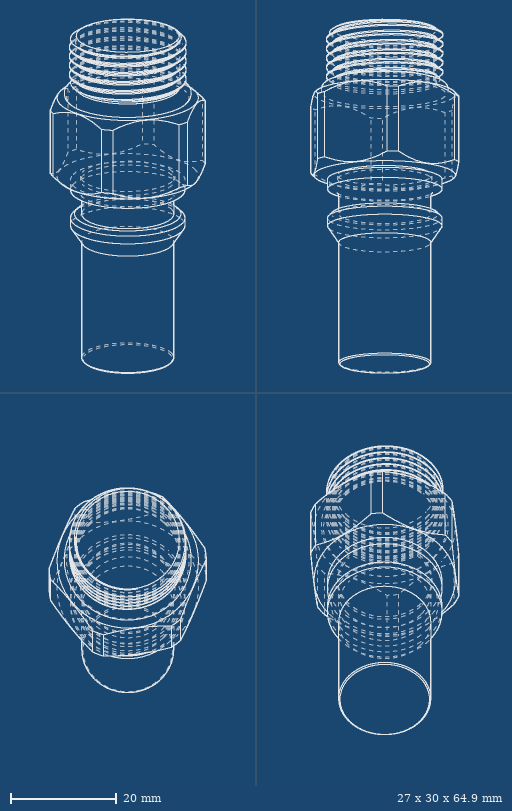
import cadquery as cq
import math

total_height = 64.9
plug_radius = 8.75
tip_chamfer = 0.25

shoulder_radius = 10.9
shoulder_cone_bottom = 23.6
shoulder_rim_bottom = 26.8
shoulder_top = 29.15
shoulder_chamfer = 0.8

flange_bottom = 33.95
flange_top = 35.9
flange_fillet = 1.35
neck_radius = 8.95

hex_bottom = 36.7
hex_top = 52.45
hex_across_flats = 27.0
hex_corner_radius = 15.0
hex_chamfer = 1.55

ring_top = 54.5
ring_edge_radius = 1.2
ring_flat_radius = 10.9

thread_pitch = 1.8
thread_major_radius = 11.1
thread_minor_radius = 9.9
thread_end_radius = 9.8
thread_bottom = 54.9
thread_bottom_chamfer = 0.8
thread_top_chamfer = 0.85
thread_flank_angle = 30.0
crest_height_on_x = 63.4
thread_crest_width = thread_pitch / 8
groove_overshoot = 0.25


def make_plug():
    """Turned plug with the locking shoulder, stop flange and neck."""
    fillet_bottom = flange_bottom - flange_fillet
    fillet_reach = flange_fillet * (1 - math.sqrt(0.5))
    return (
        cq.Workplane("XZ")
        .moveTo(0, 0)
        .lineTo(plug_radius - tip_chamfer, 0)
        .lineTo(plug_radius, tip_chamfer)
        .lineTo(plug_radius, shoulder_cone_bottom)
        .lineTo(shoulder_radius, shoulder_rim_bottom)
        .lineTo(shoulder_radius, shoulder_top - shoulder_chamfer)
        .lineTo(shoulder_radius - shoulder_chamfer, shoulder_top)
        .lineTo(plug_radius, shoulder_top)
        .lineTo(plug_radius, fillet_bottom)
        .threePointArc(
            (plug_radius + fillet_reach, flange_bottom - fillet_reach),
            (plug_radius + flange_fillet, flange_bottom),
        )
        .lineTo(shoulder_radius, flange_bottom)
        .lineTo(shoulder_radius, flange_top)
        .lineTo(neck_radius, flange_top)
        .lineTo(neck_radius, hex_bottom)
        .lineTo(0, hex_bottom)
        .close()
        .revolve(360, (0, 0, 0), (0, 1, 0))
    )


def make_hexagon():
    """Hexagon with flats facing +X and -X, corners turned round and both ends chamfered."""
    hex_height = hex_top - hex_bottom
    corner_diameter = hex_across_flats / math.cos(math.radians(30))
    prism = (
        cq.Workplane("XY")
        .workplane(offset=hex_bottom)
        .polygon(6, corner_diameter)
        .extrude(hex_height)
        .rotate((0, 0, 0), (0, 0, 1), 30)
    )
    turned_envelope = (
        cq.Workplane("XY")
        .workplane(offset=hex_bottom)
        .circle(hex_corner_radius)
        .extrude(hex_height)
        .edges()
        .chamfer(hex_chamfer)
    )
    return prism.intersect(turned_envelope)


def make_seal_ring():
    """Collar with a flat top and a round outer edge that curls back in above the hexagon."""
    edge_centre_height = ring_top - ring_edge_radius
    foot_drop = edge_centre_height - hex_top
    foot_radius = ring_flat_radius + math.sqrt(ring_edge_radius**2 - foot_drop**2)
    return (
        cq.Workplane("XZ")
        .moveTo(0, hex_top)
        .lineTo(foot_radius, hex_top)
        .threePointArc(
            (ring_flat_radius + ring_edge_radius, edge_centre_height),
            (ring_flat_radius, ring_top),
        )
        .lineTo(0, ring_top)
        .close()
        .revolve(360, (0, 0, 0), (0, 1, 0))
    )


def make_relief():
    """Plain core that joins the ring to the thread."""
    return (
        cq.Workplane("XY")
        .workplane(offset=ring_top)
        .circle(thread_end_radius)
        .extrude(thread_bottom - ring_top)
    )


def make_thread_envelope():
    """Cylinder with both ends chamfered, the outer limit of the thread."""
    return (
        cq.Workplane("XZ")
        .moveTo(0, thread_bottom)
        .lineTo(thread_end_radius, thread_bottom)
        .lineTo(thread_major_radius, thread_bottom + thread_bottom_chamfer)
        .lineTo(thread_major_radius, total_height - thread_top_chamfer)
        .lineTo(thread_end_radius, total_height)
        .lineTo(0, total_height)
        .close()
        .revolve(360, (0, 0, 0), (0, 1, 0))
    )


def make_thread():
    """Overlong bar with one helical groove, cut down to the chamfered envelope."""
    bar_bottom = thread_bottom - thread_pitch
    bar_length = total_height + thread_pitch - bar_bottom
    bar = cq.Workplane("XY").workplane(offset=bar_bottom).circle(thread_major_radius).extrude(bar_length)
    surplus = (
        cq.Workplane("XY")
        .workplane(offset=bar_bottom - thread_pitch)
        .circle(2 * thread_major_radius)
        .extrude(bar_length + 2 * thread_pitch)
        .cut(make_thread_envelope())
    )

    groove_at_crest = crest_height_on_x - thread_pitch / 2
    turns_below = math.ceil((groove_at_crest - bar_bottom) / thread_pitch)
    groove_start = groove_at_crest - turns_below * thread_pitch
    groove_turns = math.ceil((total_height - groove_start) / thread_pitch) + 1

    flank_slope = math.tan(math.radians(thread_flank_angle))
    mouth_half = (thread_pitch - thread_crest_width) / 2
    root_half = mouth_half - (thread_major_radius - thread_minor_radius) * flank_slope
    outer_half = mouth_half + groove_overshoot * flank_slope
    outer_radius = thread_major_radius + groove_overshoot

    helix = cq.Wire.makeHelix(
        thread_pitch, groove_turns * thread_pitch, thread_minor_radius, center=cq.Vector(0, 0, groove_start)
    )
    groove = (
        cq.Workplane("XZ")
        .moveTo(thread_minor_radius, groove_start - root_half)
        .lineTo(outer_radius, groove_start - outer_half)
        .lineTo(outer_radius, groove_start + outer_half)
        .lineTo(thread_minor_radius, groove_start + root_half)
        .close()
        .sweep(cq.Workplane(helix), isFrenet=True)
    )
    return bar.cut(groove).cut(surplus)


result = (
    make_plug()
    .union(make_hexagon())
    .union(make_seal_ring())
    .union(make_relief())
    .union(make_thread())
)